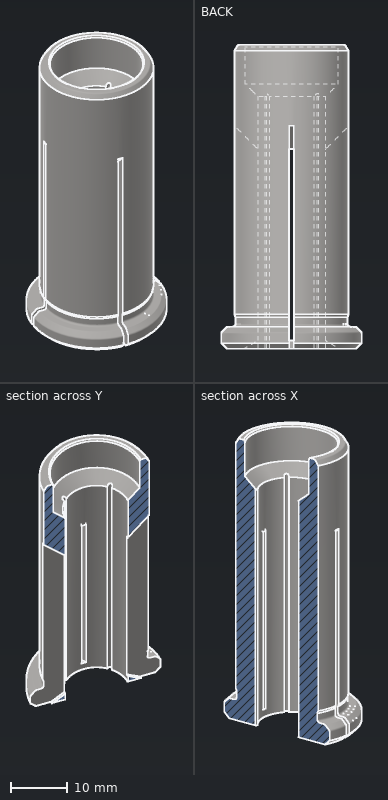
import cadquery as cq
import math

TOTAL_HEIGHT = 54.0
FLANGE_RADIUS = 12.5
BODY_RADIUS = 10.15

FLANGE_HEIGHT = 3.95
FLANGE_CHAMFER = 1.0
EDGE_RADIUS = 0.5

RELIEF_RADIUS = 20.0 / 2
RELIEF_TAPER_START = 5.6
RELIEF_TOP = 6.1

RIM_CHAMFER_HEIGHT = 1.1
RIM_FLAT_RADIUS = 9.25
RIM_SLOPE = math.radians(30)
LIP_WIDTH = 0.2
LIP_HEIGHT = 0.4

COUNTERBORE_RADIUS = 16.5 / 2
COUNTERBORE_DEPTH = 6.9
BORE_RADIUS = 6.0

GROOVE_DIAMETER = 0.85
GROOVE_CENTER_RADIUS = 6.1

SLOT_WIDTH = 0.85
SLOT_TOP = 39.65
SLOT_FLOOR = 1.5
SLOT_FLOOR_RUN = 2.6
SLOT_COUNT = 4
CUTTER_OVERLAP = 1.1


def make_body():
    """Outer shape: flange, relief groove and sleeve, revolved about Z."""
    tangent = EDGE_RADIUS * math.tan(math.radians(22.5))
    diagonal = tangent * math.sqrt(0.5)
    shoulder_z = FLANGE_HEIGHT - FLANGE_CHAMFER
    shoulder_r = FLANGE_RADIUS - FLANGE_CHAMFER
    foot_r = RELIEF_RADIUS + EDGE_RADIUS
    foot_z = FLANGE_HEIGHT + EDGE_RADIUS
    rim_arc_r = RIM_FLAT_RADIUS + EDGE_RADIUS * math.cos(RIM_SLOPE)
    rim_arc_z = TOTAL_HEIGHT - EDGE_RADIUS * (1 - math.sin(RIM_SLOPE))
    profile = (
        cq.Workplane("XZ")
        .lineTo(shoulder_r, 0)
        .lineTo(FLANGE_RADIUS, FLANGE_CHAMFER)
        .lineTo(FLANGE_RADIUS, shoulder_z - tangent)
        .radiusArc((FLANGE_RADIUS - diagonal, shoulder_z + diagonal), -EDGE_RADIUS)
        .lineTo(shoulder_r + diagonal, FLANGE_HEIGHT - diagonal)
        .radiusArc((shoulder_r - tangent, FLANGE_HEIGHT), -EDGE_RADIUS)
        .lineTo(foot_r, FLANGE_HEIGHT)
        .radiusArc((RELIEF_RADIUS, foot_z), EDGE_RADIUS)
        .lineTo(RELIEF_RADIUS, RELIEF_TAPER_START)
        .lineTo(BODY_RADIUS, RELIEF_TOP)
        .lineTo(BODY_RADIUS, TOTAL_HEIGHT - RIM_CHAMFER_HEIGHT)
        .lineTo(rim_arc_r, rim_arc_z)
        .radiusArc((RIM_FLAT_RADIUS, TOTAL_HEIGHT), -EDGE_RADIUS)
        .lineTo(0, TOTAL_HEIGHT)
        .close()
    )
    return profile.revolve(360, (0, 0, 0), (0, 1, 0))


def make_bore():
    """Through bore with a conical seat, a counterbore and a chamfered lip."""
    seat_top = TOTAL_HEIGHT - COUNTERBORE_DEPTH
    seat_bottom = seat_top - (COUNTERBORE_RADIUS - BORE_RADIUS)
    return (
        cq.Workplane("XZ")
        .lineTo(BORE_RADIUS, 0)
        .lineTo(BORE_RADIUS, seat_bottom)
        .lineTo(COUNTERBORE_RADIUS, seat_top)
        .lineTo(COUNTERBORE_RADIUS, TOTAL_HEIGHT - LIP_HEIGHT)
        .lineTo(COUNTERBORE_RADIUS + LIP_WIDTH, TOTAL_HEIGHT)
        .lineTo(0, TOTAL_HEIGHT)
        .close()
        .revolve(360, (0, 0, 0), (0, 1, 0))
    )


def make_groove():
    """Cutter for one round groove along the bore wall, on the +X side."""
    return (
        cq.Workplane("XY")
        .center(GROOVE_CENTER_RADIUS, 0)
        .circle(GROOVE_DIAMETER / 2)
        .extrude(TOTAL_HEIGHT)
    )


def make_slot():
    """Cutter for one slot along +X, with a sloping end and a sloping floor."""
    inner_r = BORE_RADIUS - CUTTER_OVERLAP
    outer_r = FLANGE_RADIUS + CUTTER_OVERLAP
    return (
        cq.Workplane("XZ")
        .moveTo(inner_r, SLOT_FLOOR)
        .lineTo(BORE_RADIUS, SLOT_FLOOR)
        .lineTo(BORE_RADIUS + SLOT_FLOOR_RUN, 0)
        .lineTo(outer_r, 0)
        .lineTo(outer_r, SLOT_TOP + outer_r - BODY_RADIUS)
        .lineTo(inner_r, SLOT_TOP + inner_r - BODY_RADIUS)
        .close()
        .extrude(SLOT_WIDTH / 2, both=True)
    )


result = make_body().cut(make_bore())
slot_pitch = 360 / SLOT_COUNT
for index in range(SLOT_COUNT):
    slot_angle = index * slot_pitch
    groove_angle = slot_angle + slot_pitch / 2
    result = result.cut(make_slot().rotate((0, 0, 0), (0, 0, 1), slot_angle))
    result = result.cut(make_groove().rotate((0, 0, 0), (0, 0, 1), groove_angle))